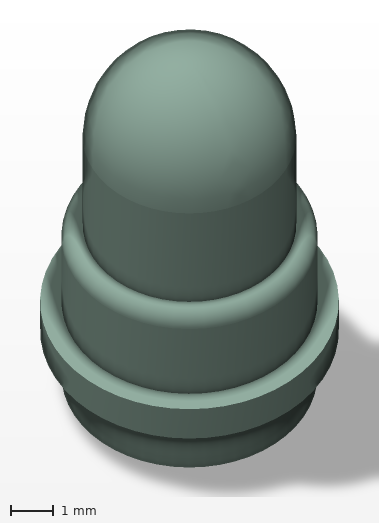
import cadquery as cq

total_height = 10.6
pin_diameter = 5.0
body_diameter = 6.0
flange_diameter = 7.0

flange_bottom = 1.5
flange_thickness = 1.0
body_top = 5.1

body_edge_radius = 0.4

pin_radius = pin_diameter / 2
dome_start = total_height - pin_radius


def make_body():
    """Cylindrical barrel with a rounded upper edge."""
    barrel = cq.Workplane("XY").circle(body_diameter / 2).extrude(body_top)
    return barrel.faces(">Z").edges().fillet(body_edge_radius)


def make_flange():
    """Plain collar around the lower part of the barrel."""
    return (
        cq.Workplane("XY")
        .workplane(offset=flange_bottom)
        .circle(flange_diameter / 2)
        .extrude(flange_thickness)
    )


def make_pin():
    """Round pin rising from the barrel, ending in a hemispherical dome."""
    dome_mid = pin_radius * 0.5 ** 0.5
    return (
        cq.Workplane("XZ")
        .moveTo(0, 0)
        .lineTo(pin_radius, 0)
        .lineTo(pin_radius, dome_start)
        .threePointArc((dome_mid, dome_start + dome_mid), (0, total_height))
        .close()
        .revolve(360, (0, 0, 0), (0, 1, 0))
    )


result = make_body().union(make_flange()).union(make_pin())